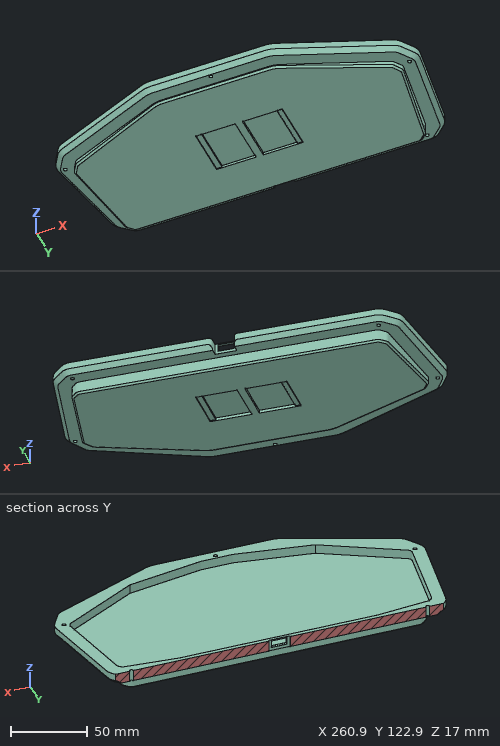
import cadquery as cq
import math

total_height = 17.0
clear_span = 521.7

rim_thickness = 8.0
rim_bevel = 3.0
rim_back_y = 61.43
rim_left_half = [
    (-108.0, rim_back_y),
    (-119.2, 51.0),
    (-131.0, -16.0),
    (-122.0, -29.7),
    (-44.9, -rim_back_y),
]
rim_corner_radii = [10.0, 10.0, 10.0, 10.0, 20.0]

pocket_depth = 6.5
pocket_back_y = 51.5
pocket_left_half = [
    (-70.0, pocket_back_y),
    (-110.5, 47.5),
    (-121.0, -14.0),
    (-65.5, -44.3),
    (-11.2, -53.7),
]
pocket_corner_radii = [0, 5.0, 3.0, 0, 0]

wedge_back_y = 49.3
wedge_left_half = [
    (-103.0, wedge_back_y),
    (-108.0, 44.5),
    (-118.5, -13.3),
    (-114.0, -20.0),
    (-42.5, -49.5),
]
wedge_corner_radii = [5.0, 5.0, 3.0, 3.0, 20.0]
wedge_slope = 4.0
wedge_bevel = 1.3

recess_inner_x = 2.5
recess_back_y = 19.5
recess_length = 32.5
shallow_recess_width = 28.5
shallow_recess_depth = 0.8
deep_recess_width = 24.5
deep_recess_depth = 2.0

notch_width = 14.9
notch_floor_y = 53.5
notch_mouth_radius = 2.9
slot_width = 11.0
slot_height = 5.0
slot_center_z = -3.5

screw_diameter = 2.4
screw_points = [(0, -56.5), (-104.5, 54.0), (104.5, 54.0), (-124.0, -15.0), (124.0, -15.0)]


def level_plane(z):
    return cq.Plane(origin=(0, 0, z), xDir=(1, 0, 0), normal=(0, 0, 1))


def mirrored_prism(bottom_z, left_half, corner_radii, height):
    """Upright prism, symmetric about X = 0, with rounded vertical edges."""
    right_half = [(-x, y) for x, y in reversed(left_half)]
    prism = cq.Workplane(level_plane(bottom_z)).polyline(left_half + right_half).close().extrude(height)
    for (x, y), radius in zip(left_half, corner_radii):
        if radius > 0:
            for corner_x in (x, -x):
                edge_middle = (corner_x, y, bottom_z + height / 2)
                prism = prism.edges(cq.selectors.NearestToPointSelector(edge_middle)).fillet(radius)
    return prism


def make_rim():
    rim = mirrored_prism(-rim_thickness, rim_left_half, rim_corner_radii, rim_thickness)
    return rim.faces("<Z").edges().chamfer(rim_bevel)


def make_sloped_plane():
    """Plane of the wedge's underside, rising toward the front."""
    angle = math.radians(wedge_slope)
    lowest_y = wedge_back_y - wedge_bevel
    return cq.Plane(
        origin=(0, 0, -total_height + lowest_y * math.tan(angle)),
        xDir=(1, 0, 0),
        normal=(0, math.sin(angle), math.cos(angle)),
    )


def make_recesses(sloped_plane):
    center_y = recess_back_y - recess_length / 2
    recesses = cq.Workplane(sloped_plane)
    for width, depth in (
        (shallow_recess_width, shallow_recess_depth),
        (deep_recess_width, deep_recess_depth),
    ):
        center_x = recess_inner_x + width / 2
        recesses = recesses.union(
            cq.Workplane(sloped_plane)
            .pushPoints([(-center_x, center_y), (center_x, center_y)])
            .rect(width, recess_length)
            .extrude(depth)
        )
    return recesses


def make_wedge():
    """Block with upright walls and a bevelled, sloping bottom; its top is buried in the rim plate."""
    sloped_plane = make_sloped_plane()
    top_z = -(pocket_depth + rim_thickness) / 2
    bottom_z = -2 * total_height
    block = mirrored_prism(bottom_z, wedge_left_half, wedge_corner_radii, top_z - bottom_z)
    below = cq.Workplane(sloped_plane).rect(clear_span, clear_span).extrude(2 * bottom_z)
    block = block.cut(below)
    underside = cq.selectors.DirectionMinMaxSelector(sloped_plane.zDir, False)
    block = block.faces(underside).edges().chamfer(wedge_bevel)
    return block.cut(make_recesses(sloped_plane))


def cut_cable_notch(body):
    """Open notch in the back edge with rounded mouth corners, and the slot into the pocket."""
    depth = rim_back_y - notch_floor_y
    notch = (
        cq.Workplane("XY")
        .center(0, notch_floor_y + depth / 2)
        .rect(notch_width, depth)
        .extrude(-rim_thickness)
    )
    body = body.cut(notch)
    for side in (-1, 1):
        mouth_edge = (side * notch_width / 2, rim_back_y, -(rim_thickness - rim_bevel) / 2)
        body = body.edges(cq.selectors.NearestToPointSelector(mouth_edge)).fillet(notch_mouth_radius)
    slot = (
        cq.Workplane("XZ", origin=(0, notch_floor_y, slot_center_z))
        .rect(slot_width, slot_height)
        .extrude(notch_floor_y - pocket_back_y)
    )
    return body.cut(slot)


pocket = mirrored_prism(-pocket_depth, pocket_left_half, pocket_corner_radii, pocket_depth)
screw_holes = cq.Workplane("XY").pushPoints(screw_points).circle(screw_diameter / 2).extrude(-total_height)

tray = make_rim().union(make_wedge()).cut(pocket)
result = cut_cable_notch(tray).cut(screw_holes)